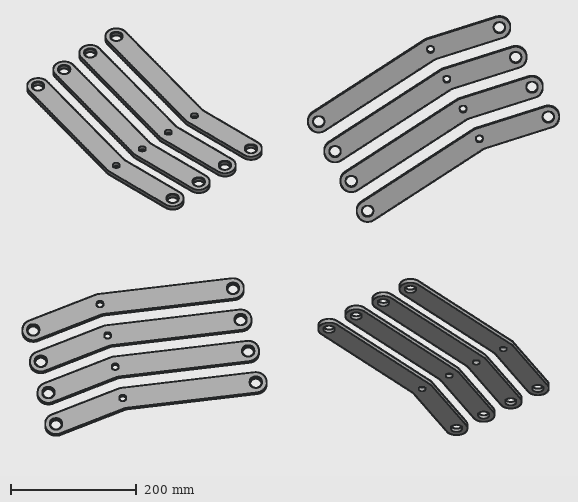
import cadquery as cq
import math

overall_length = 360.0
overall_width = 220.0
thickness = 8.0
arm_width = 35.0
arm_count = 4
bend_drop = 20.0
bend_x = 49.3
inner_bend_radius = 17.5
end_hole_diameter = 18.0
bend_hole_diameter = 11.0
end_hole_chamfer = 1.0

half_width = arm_width / 2
eye_x = overall_length / 2 - half_width
arm_pitch = (overall_width - arm_width - bend_drop) / (arm_count - 1)
eye_points = [(-eye_x, 0), (eye_x, 0)]
bend_point = (bend_x, -bend_drop)


def leg(start, end):
    """Straight leg with full-round ends centred on the two points."""
    dx = end[0] - start[0]
    dy = end[1] - start[1]
    length = math.hypot(dx, dy)
    middle = ((start[0] + end[0]) / 2, (start[1] + end[1]) / 2)
    return (
        cq.Workplane("XY")
        .center(*middle)
        .slot2D(length + arm_width, arm_width, math.degrees(math.atan2(dy, dx)))
        .extrude(thickness)
    )


def bent_blank():
    """Two legs joined at the bend, with the concave corner rounded."""
    left_eye, right_eye = eye_points
    blank = leg(left_eye, bend_point).union(leg(bend_point, right_eye))
    concave_corner = cq.selectors.NearestToPointSelector(
        (bend_x, half_width - bend_drop, thickness / 2)
    )
    return blank.edges("|Z").edges(concave_corner).fillet(inner_bend_radius)


def cut_holes(blank):
    """Bore the bend hole and the two eyes, chamfering the eyes on the top face."""
    bend_hole = (
        cq.Workplane("XY").center(*bend_point).circle(bend_hole_diameter / 2).extrude(thickness)
    )
    eye_radius = end_hole_diameter / 2
    mouth_radius = eye_radius + end_hole_chamfer
    eye_bore = (
        cq.Workplane("XZ")
        .polyline([
            (0, 0),
            (eye_radius, 0),
            (eye_radius, thickness - end_hole_chamfer),
            (mouth_radius, thickness),
            (0, thickness),
        ])
        .close()
        .revolve(360, (0, 0), (0, 1))
    )
    drilled = blank.cut(bend_hole)
    for x, y in eye_points:
        drilled = drilled.cut(eye_bore.translate((x, y, 0)))
    return drilled


def make_arm(y):
    """One complete arm with its eyes at the given Y."""
    return cut_holes(bent_blank()).translate((0, y, 0))


arms = [make_arm(index * arm_pitch) for index in range(arm_count)]

result = cq.Compound.makeCompound([arm.solids().val() for arm in arms])